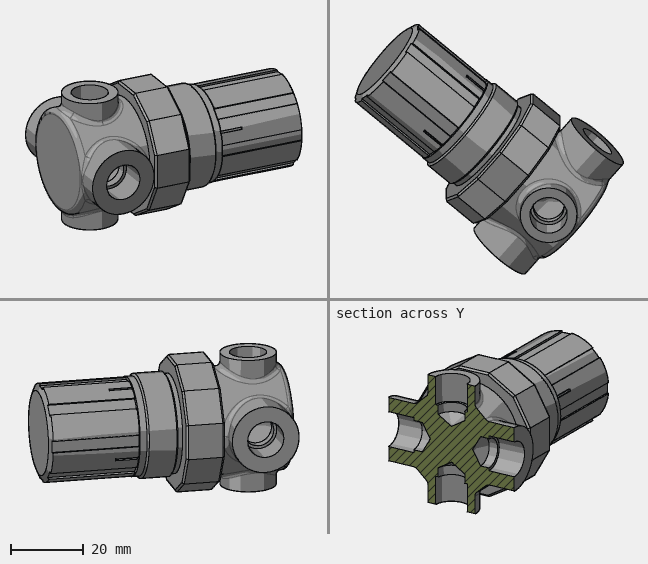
import cadquery as cq
import math


overall_length = 69.2
nut_start = 20.8
nut_length = 10.9
collar_start = 32.95
collar_end = 43.7
knob_start = 43.9
nut_end = nut_start + nut_length

housing_radius = 15.0
rim_fillet = 1.5
port_axis_y = 9.7
side_port_radius = 9.5
side_port_span = 41.4
gauge_port_radius = 7.8
gauge_port_span = 38.1
port_root_fillet = 1.5
thread_radius = 5.1
thread_depth = 8.3
drill_radius = 4.3
drill_depth = 2.8
drill_point_angle = 118.0

nut_sides = 12
nut_across_flats = 36.8
nut_chamfer = 0.55

neck_radius = 13.9
collar_radius = 14.6
collar_band_start = 33.4
collar_band_end = 41.25
collar_shoulder = 41.75

knob_radius = 13.8
knob_end_radius = 11.8
knob_bevel_length = 0.9
knob_hub_radius = 11.1
recess_depth = 0.55
groove_count = 8
groove_width = 3.3
slit_count = 4
slit_width = 0.6
slit_length = 6.45
slit_first_angle = -22.5


def y_cylinder(radius, start, end):
    """Cylinder on the Y axis between two stations."""
    return cq.Workplane("XZ", origin=(0, start, 0)).circle(radius).extrude(start - end)


def revolve_about_y(profile):
    """Turn a closed (radius, y) outline about the Y axis."""
    return cq.Workplane("XY").polyline(profile).close().revolve(360, (0, 0, 0), (0, 1, 0))


def port_bore(half_span):
    """Stepped blind hole along Z with a conical bottom, opening at Z = half_span."""
    step_z = half_span - thread_depth
    drill_end_z = step_z - drill_depth
    tip_z = drill_end_z - drill_radius / math.tan(math.radians(drill_point_angle / 2))
    outline = [
        (0, half_span),
        (thread_radius, half_span),
        (thread_radius, step_z),
        (drill_radius, step_z),
        (drill_radius, drill_end_z),
        (0, tip_z),
    ]
    bore = cq.Workplane("XZ").polyline(outline).close().revolve(360, (0, 0, 0), (0, 1, 0))
    return bore.translate((0, port_axis_y, 0))


def rotate_about_y(shape, angle):
    """Shape turned about the regulator axis by an angle in degrees."""
    return shape.rotate((0, 0, 0), (0, 1, 0), angle)


def make_housing():
    housing = y_cylinder(housing_radius, 0, nut_start).faces("<Y").edges().fillet(rim_fillet)
    side_ports = (
        cq.Workplane("YZ", origin=(-side_port_span / 2, port_axis_y, 0))
        .circle(side_port_radius)
        .extrude(side_port_span)
    )
    gauge_ports = (
        cq.Workplane("XY", origin=(0, port_axis_y, -gauge_port_span / 2))
        .circle(gauge_port_radius)
        .extrude(gauge_port_span)
    )
    housing = housing.union(side_ports).union(gauge_ports)

    housing = housing.edges("not(%LINE or %CIRCLE)").fillet(port_root_fillet)

    port_half_spans = [gauge_port_span / 2, side_port_span / 2] * 2
    for index, half_span in enumerate(port_half_spans):
        housing = housing.cut(rotate_about_y(port_bore(half_span), 90 * index))
    return housing


def make_nut():
    corner_diameter = nut_across_flats / math.cos(math.pi / nut_sides)
    nut = (
        cq.Workplane("XZ", origin=(0, nut_start, 0))
        .transformed(rotate=(0, 0, 180 / nut_sides))
        .polygon(nut_sides, corner_diameter)
        .extrude(-nut_length)
        .faces("<Y or >Y")
        .edges()
        .chamfer(nut_chamfer)
    )
    return nut.cut(y_cylinder(neck_radius, nut_start, nut_end))


def make_bonnet():
    return y_cylinder(neck_radius, nut_start, collar_start)


def make_collar():
    return revolve_about_y([
        (0, collar_start),
        (neck_radius, collar_start),
        (collar_radius, collar_band_start),
        (collar_radius, collar_band_end),
        (neck_radius, collar_shoulder),
        (neck_radius, collar_end),
        (0, collar_end),
    ])


def knob_recess(width, end):
    """Parallel-sided recess in the knob's skin at +Z, from the open end to a station."""
    length = end - knob_start
    slab = cq.Workplane("XY").box(width, length, 2 * knob_radius, centered=(True, False, False))
    slab = slab.translate((0, knob_start, 0))
    return slab.cut(y_cylinder(knob_radius - recess_depth, knob_start, end))


def make_knob():
    knob = revolve_about_y([
        (0, knob_start),
        (knob_radius, knob_start),
        (knob_radius, overall_length - knob_bevel_length),
        (knob_end_radius, overall_length),
        (0, overall_length),
    ])
    groove = knob_recess(groove_width, overall_length)
    for index in range(groove_count):
        knob = knob.cut(rotate_about_y(groove, index * 360 / groove_count))
    slit = knob_recess(slit_width, knob_start + slit_length)
    for index in range(slit_count):
        knob = knob.cut(rotate_about_y(slit, slit_first_angle + index * 360 / slit_count))

    return knob.union(y_cylinder(knob_hub_radius, collar_end, knob_start))


housing = make_housing()
nut = make_nut()
bonnet = make_bonnet()
collar = make_collar()
knob = make_knob()

result = cq.Compound.makeCompound([
    housing.val(),
    nut.val(),
    bonnet.val(),
    collar.val(),
    knob.val(),
])